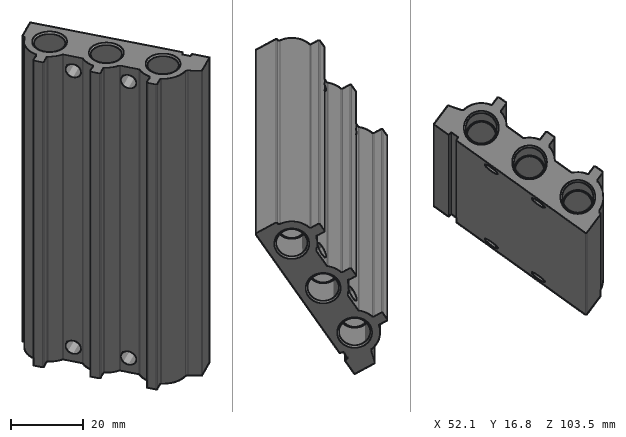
import cadquery as cq
import math

width = 52.1
overall_depth = 16.8
length = 103.5

tube_count = 3
tube_pitch = 16.5
first_tube_x = 8.0
tube_radius = 7.0
tube_y = -6.9

bore_diameter = 8.0
mouth_diameter = 8.6
mouth_depth = 10.4
rim_diameter = 9.6
rim_chamfer = (rim_diameter - mouth_diameter) / 2

fin_width = 3.0
plate_depth = 11.5

left_wall_depth = 6.9
left_root_radius = 0.5
right_wall_depth = 6.6
ledge_angle = 17.0
ledge_root_radius = 0.78

corner_radius = 0.3

groove_x = 45.6
groove_mouth_width = 2.7
groove_floor_width = 2.3
groove_depth = 1.0

hole_diameter = 4.5
hole_pitch_x = 16.0
hole_end_distance = 4.9
first_hole_x = 16.4

tube_xs = [first_tube_x + i * tube_pitch for i in range(tube_count)]
last_tube_x = tube_xs[-1]


def prism(points):
    """Full-length prism on a closed outline."""
    return cq.Workplane("XY").polyline(points).close().extrude(length)


def block(x_min, x_max, y_min, y_max):
    """Full-length block between the given x and y limits."""
    return prism([(x_min, y_min), (x_max, y_min), (x_max, y_max), (x_min, y_max)])


def round_edge(body, x, y, radius):
    """Round the full-length edge that passes through the given x and y."""
    nearest = cq.selectors.NearestToPointSelector((x, y, length / 2))
    return body.edges("|Z").edges(nearest).fillet(radius)


def make_profile():
    """Extruded profile: plate, side walls, tubes and fins."""
    ledge_drop = (width - last_tube_x) * math.tan(math.radians(ledge_angle))
    body = block(0, last_tube_x, -left_wall_depth, 0)
    body = body.union(block(first_tube_x, last_tube_x, -plate_depth, 0))
    body = body.union(prism([
        (last_tube_x, 0),
        (width, 0),
        (width, -right_wall_depth),
        (last_tube_x, -right_wall_depth - ledge_drop),
    ]))
    for x in tube_xs:
        body = body.union(cq.Workplane("XY").center(x, tube_y).circle(tube_radius).extrude(length))
        body = body.union(block(x - fin_width / 2, x + fin_width / 2, -overall_depth, tube_y))
    return body.intersect(block(0, width, -overall_depth, 0)).clean()


def round_side_walls(body):
    """Round the wall corners and the roots where the walls meet the outer tubes."""
    body = round_edge(body, last_tube_x + tube_radius, tube_y, ledge_root_radius)
    body = round_edge(body, width, -right_wall_depth, corner_radius)
    body = round_edge(body, first_tube_x - tube_radius, -left_wall_depth, left_root_radius)
    for y in (0, -left_wall_depth):
        body = round_edge(body, 0, y, corner_radius)
    return body


def round_tubes(body):
    """Round the tips and roots of the fins, and the roots between tubes and plate."""
    fin_root_y = tube_y - math.sqrt(tube_radius**2 - (fin_width / 2) ** 2)
    plate_root_offset = math.sqrt(tube_radius**2 - (plate_depth + tube_y) ** 2)
    for x in tube_xs:
        for side in (-1, 1):
            fin_side_x = x + side * fin_width / 2
            body = round_edge(body, fin_side_x, -overall_depth, corner_radius)
            body = round_edge(body, fin_side_x, fin_root_y, corner_radius)
            plate_root_x = x + side * plate_root_offset
            if first_tube_x < plate_root_x < last_tube_x:
                body = round_edge(body, plate_root_x, -plate_depth, corner_radius)
    return body


def make_bore(x):
    """Through bore with a wider mouth and a chamfered rim at each end, as a solid of revolution."""
    bore_radius = bore_diameter / 2
    mouth_radius = mouth_diameter / 2
    rim_radius = rim_diameter / 2
    half_outline = (
        cq.Workplane("XZ", origin=(x, tube_y, 0))
        .moveTo(0, 0)
        .lineTo(rim_radius, 0)
        .lineTo(mouth_radius, rim_chamfer)
        .lineTo(mouth_radius, mouth_depth)
        .lineTo(bore_radius, mouth_depth)
        .lineTo(bore_radius, length - mouth_depth)
        .lineTo(mouth_radius, length - mouth_depth)
        .lineTo(mouth_radius, length - rim_chamfer)
        .lineTo(rim_radius, length)
        .lineTo(0, length)
        .close()
    )
    return half_outline.revolve(360, (0, 0, 0), (0, 1, 0))


def make_groove():
    """Tapered groove running the full length of the back face."""
    return prism([
        (groove_x - groove_mouth_width / 2, 0),
        (groove_x - groove_floor_width / 2, -groove_depth),
        (groove_x + groove_floor_width / 2, -groove_depth),
        (groove_x + groove_mouth_width / 2, 0),
    ])


def make_cross_holes():
    """Four holes through the plate, one pair near each end."""
    hole_points = [
        (x, z)
        for x in (first_hole_x, first_hole_x + hole_pitch_x)
        for z in (hole_end_distance, length - hole_end_distance)
    ]
    return cq.Workplane("XZ").pushPoints(hole_points).circle(hole_diameter / 2).extrude(overall_depth)


result = round_tubes(round_side_walls(make_profile()))
result = result.cut(make_groove())
for tube_x in tube_xs:
    result = result.cut(make_bore(tube_x))
result = result.cut(make_cross_holes())